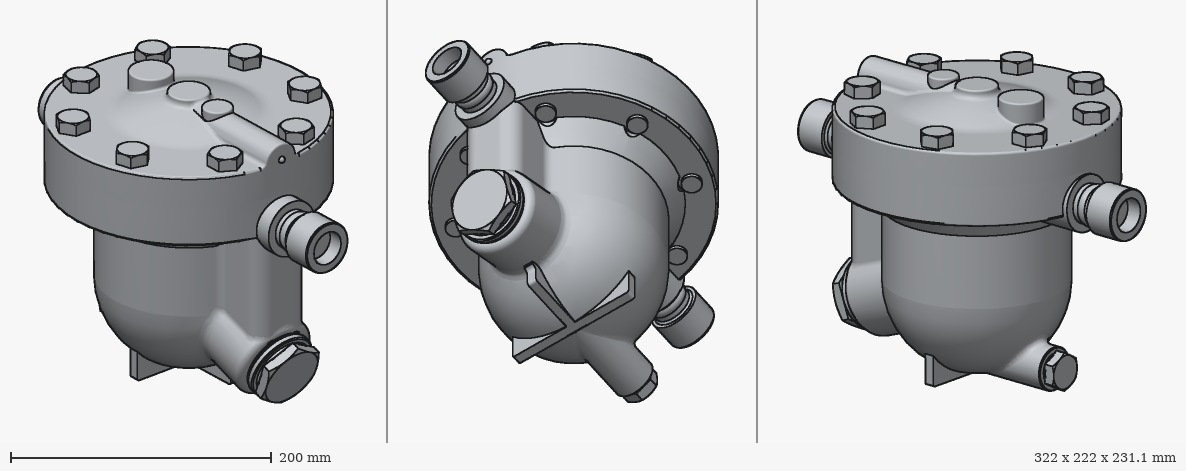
import cadquery as cq
import math


TOLERANCE = 0.01

BODY_R = 73.0
DOME_CENTER_Z = -86.5
NECK_Z = -27.4
FAIRING_TOP_R = 85.6
FLANGE_R = 111.0
FLANGE_BOTTOM_Z = -6.8
FLANGE_EDGE_R = 1.8
JOINT_Z = 25.7

COVER_TOP_Z = 52.8
COVER_EDGE_R = 2.0
CROWN_BASE_R = 65.0
CROWN_BLEND_R = 53.0
CROWN_SPHERE_R = 145.0
BOSS_TOP_Z = 71.2
BOSS_EDGE_R = 1.5
CENTER_BOSS_R = 16.5
CENTER_BOSS_BLEND = 5.3
SIDE_BOSS_R = 17.5
SIDE_BOSS_X = -45.3
SIDE_BOSS_BLEND = 1.8
SMALL_BOSS_R = 12.0
SMALL_BOSS_X = 34.4

PASSAGE_R = 15.0
PASSAGE_AXIS_RISE = 0.7
PASSAGE_BLEND_R = 4.2
PASSAGE_RAW_END_X = 130.0
RAW_DISC_R = 140.0
PASSAGE_END_R = 1.5
NIB_R = 2.7
NIB_Z = 55.0

BOLT_COUNT = 8
BOLT_CIRCLE_R = 93.0
BOLT_FIRST_ANGLE = 22.5
BOLT_HEX_TURN = 22.5
BOLT_FLATS = 24.0
BOLT_HEAD_TOP_Z = 62.9
BOLT_SHANK_R = 8.0
BOLT_TIP_Z = -10.0
SPOTFACE_R = 10.5
SPOTFACE_DEPTH = 20.0

PORT_BOSS_R = 23.0
INLET_BOSS_X = -113.0
OUTLET_BOSS_X = 123.0
PORT_NECK_R = 16.0
PORT_SOCKET_R = 41.5 / 2
PORT_SOCKET_START = 18.0
PORT_LENGTH = 43.0
PORT_FLARE = 1.8
PORT_EDGE = 1.2
WELD_R = 17.0
WELD_START = 4.7
WELD_WIDTH = 7.0
PORT_BORE_R = 27.05 / 2
PORT_BORE_DEPTH = 13.0

COLUMN_X = 114.0
COLUMN_HALF_WIDTH = 25.0
COLUMN_CORNER_R = 14.0
COLUMN_SLOPE_X = 109.5
COLUMN_SLOPE_Z = -17.2
COLUMN_STRAINER_BLEND = 6.5

STRAINER_TILT = 20.0
STRAINER_AXIS_Z = -83.0
STRAINER_R = 35.0
STRAINER_LENGTH = 111.5
STRAINER_END_R = 6.0
HOUSING_BLEND = 9.0
STRAINER_GASKET_R = 28.0
STRAINER_GASKET_END = 113.0
STRAINER_COLLAR_R = 29.0
STRAINER_COLLAR_END = 119.0
STRAINER_COLLAR_EDGE = 1.0
STRAINER_WASHER_R = 49.5 / 2
STRAINER_WASHER_END = 122.0
STRAINER_PLUG_END = 131.0
STRAINER_PLUG_FLATS = 50.0

DRAIN_R = 17.5
DRAIN_AXIS_Z = -141.9
DRAIN_EDGE = 0.8
DRAIN_END_X = -80.0
DRAIN_BLEND = 5.0
DRAIN_NECK_R = 13.0
DRAIN_PLUG_X = -82.0
DRAIN_PLUG_END_X = -91.0
DRAIN_PLUG_FLATS = 27.0

FOOT_BOTTOM_Z = -159.9
FOOT_THICKNESS = 8.0
FOOT_REACH = 55.0
FOOT_CORNER_R = 2.5
FOOT_INNER_R = 4.5
FOOT_TOP_Z = -144.2
FOOT_CROSS_TOP_Z = -125.0


def hex_prism(flats, height):
    """Hexagonal prism on z = 0 with a corner on +X and the top corners turned off."""
    corner_r = flats / math.sqrt(3)
    inner_r = flats / 2
    turned_height = (corner_r - inner_r) * math.tan(math.radians(30))
    prism = cq.Workplane("XY").polygon(6, 2 * corner_r).extrude(height)
    envelope = (
        cq.Workplane("XZ")
        .polyline([
            (0, 0),
            (corner_r, 0),
            (corner_r, height - turned_height),
            (inner_r, height),
            (0, height),
        ])
        .close()
        .revolve(360, (0, 0, 0), (0, 1, 0))
    )
    return prism.intersect(envelope)


def placed(shape, plane):
    """Move a shape from the global origin and axes onto a plane."""
    return cq.Workplane(shape.val().moved(cq.Location(plane)))


def make_bowl():
    """Domed bowl, with its straight wall running up to the flange."""
    dome_diagonal = BODY_R / math.sqrt(2)
    return (
        cq.Workplane("YZ")
        .moveTo(0, DOME_CENTER_Z - BODY_R)
        .threePointArc((dome_diagonal, DOME_CENTER_Z - dome_diagonal), (BODY_R, DOME_CENTER_Z))
        .lineTo(BODY_R, FLANGE_BOTTOM_Z)
        .lineTo(0, FLANGE_BOTTOM_Z)
        .close()
        .revolve(360, (0, 0, 0), (0, 1, 0))
    )


def make_flange():
    """Lower flange, its conical fairing and the bolt spotfaces."""
    flange = (
        cq.Workplane("YZ")
        .moveTo(0, NECK_Z)
        .lineTo(BODY_R, NECK_Z)
        .lineTo(FAIRING_TOP_R, FLANGE_BOTTOM_Z)
        .lineTo(FLANGE_R - FLANGE_EDGE_R, FLANGE_BOTTOM_Z)
        .radiusArc((FLANGE_R, FLANGE_BOTTOM_Z + FLANGE_EDGE_R), -FLANGE_EDGE_R)
        .lineTo(FLANGE_R, JOINT_Z)
        .lineTo(0, JOINT_Z)
        .close()
        .revolve(360, (0, 0, 0), (0, 1, 0))
    )
    spotface = cq.Workplane("XY", origin=(0, 0, FLANGE_BOTTOM_Z)).circle(SPOTFACE_R).extrude(-SPOTFACE_DEPTH)
    for angle in bolt_angles():
        flange = flange.cut(at_bolt(spotface, angle))
    return flange


def bolt_angles():
    """Angular positions of the cover bolts."""
    return [BOLT_FIRST_ANGLE + i * 360 / BOLT_COUNT for i in range(BOLT_COUNT)]


def at_bolt(shape, angle):
    """Move a shape from the Z axis to a bolt position, turned with the bolt circle."""
    return shape.translate((BOLT_CIRCLE_R, 0, 0)).rotate((0, 0, 0), (0, 0, 1), angle)


def strainer_plane(distance):
    """Plane across the strainer axis, at a distance along the axis from the vessel axis."""
    tilt = math.radians(STRAINER_TILT)
    along = cq.Vector(math.cos(tilt), 0, -math.sin(tilt))
    return cq.Plane(
        origin=(cq.Vector(0, 0, STRAINER_AXIS_Z) + along * distance).toTuple(),
        xDir=(math.sin(tilt), 0, math.cos(tilt)),
        normal=along.toTuple(),
    )


def make_column():
    """Vertical passage column: rounded outer corners, sloped top, cut off at the barrel's end."""
    axis_end = strainer_plane(STRAINER_LENGTH).origin
    outer_bottom_z = axis_end.z + (COLUMN_X - axis_end.x) / math.tan(math.radians(STRAINER_TILT))
    column = (
        cq.Workplane("XY", origin=(0, 0, axis_end.z))
        .rect(2 * COLUMN_X, 2 * COLUMN_HALF_WIDTH)
        .extrude(FLANGE_BOTTOM_Z - axis_end.z)
        .edges("|Z and >X")
        .fillet(COLUMN_CORNER_R)
    )
    side = (
        cq.Workplane("XZ")
        .polyline([
            (0, axis_end.z),
            (axis_end.x, axis_end.z),
            (COLUMN_X, outer_bottom_z),
            (COLUMN_X, COLUMN_SLOPE_Z),
            (COLUMN_SLOPE_X, FLANGE_BOTTOM_Z),
            (0, FLANGE_BOTTOM_Z),
        ])
        .close()
        .extrude(COLUMN_X, both=True)
    )
    return column.intersect(side)


def lies_on_bowl(edge):
    """True for an edge on the bowl wall or dome, other than the bowl's own circles."""
    for share in (0.25, 0.5, 0.75):
        point = edge.positionAt(share)
        distance = math.hypot(point.x, point.y, min(point.z - DOME_CENTER_Z, 0))
        on_surface = abs(distance - BODY_R) < TOLERANCE
        on_circle = abs(point.z - DOME_CENTER_Z) < TOLERANCE or point.z > FLANGE_BOTTOM_Z - TOLERANCE
        if on_circle or not on_surface:
            return False
    return True


def joins_column_to_barrel(edge):
    """True for a straight edge where a flat column side meets the top of the strainer barrel."""
    middle = edge.positionAt(0.5)
    along = edge.tangentAt(0.5)
    slope = math.tan(math.radians(STRAINER_TILT))
    on_side = abs(abs(middle.y) - COLUMN_HALF_WIDTH) < TOLERANCE
    above_axis = middle.z > STRAINER_AXIS_Z - slope * middle.x + TOLERANCE
    follows_axis = abs(along.z + slope * along.x) < TOLERANCE and abs(along.x) > TOLERANCE
    return on_side and above_axis and follows_axis


def make_outlet_housing():
    """Column and tilted strainer barrel, blended together."""
    barrel = cq.Workplane(strainer_plane(0)).circle(STRAINER_R).extrude(STRAINER_LENGTH)
    barrel = barrel.faces(">X").edges().fillet(STRAINER_END_R)
    housing = barrel.union(make_column())
    return housing.edges().filter(joins_column_to_barrel).fillet(COLUMN_STRAINER_BLEND)


def make_body():
    """Bowl with the outlet housing and the drain stub, each blended into it."""
    stub = cq.Workplane("YZ", origin=(DRAIN_END_X, 0, DRAIN_AXIS_Z)).circle(DRAIN_R).extrude(-DRAIN_END_X)
    stub = stub.faces("<X").edges().chamfer(DRAIN_EDGE)
    with_drain = make_bowl().union(stub).edges().filter(lies_on_bowl).fillet(DRAIN_BLEND)
    with_housing = make_bowl().union(make_outlet_housing()).edges().filter(lies_on_bowl).fillet(HOUSING_BLEND)
    return with_drain.union(with_housing)


def strainer_disc(radius, start, end):
    """Round disc on the strainer axis between two distances along it."""
    return cq.Workplane(strainer_plane(start)).circle(radius).extrude(end - start)


def make_strainer_plug():
    """Gasket, round collar, washer face and hexagon closing the strainer."""
    gasket = strainer_disc(STRAINER_GASKET_R, STRAINER_LENGTH, STRAINER_GASKET_END)
    collar = strainer_disc(STRAINER_COLLAR_R, STRAINER_GASKET_END, STRAINER_COLLAR_END)
    collar = collar.faces("<X or >X").edges().chamfer(STRAINER_COLLAR_EDGE)
    washer_face = strainer_disc(STRAINER_WASHER_R, STRAINER_COLLAR_END, STRAINER_WASHER_END)
    hexagon = hex_prism(STRAINER_PLUG_FLATS, STRAINER_PLUG_END - STRAINER_WASHER_END)
    hexagon = placed(hexagon, strainer_plane(STRAINER_WASHER_END))
    return gasket.union(collar).union(washer_face).union(hexagon)


def make_drain_plug():
    """Hexagon drain plug on a short round neck."""
    neck = (
        cq.Workplane("YZ", origin=(DRAIN_PLUG_X, 0, DRAIN_AXIS_Z))
        .circle(DRAIN_NECK_R)
        .extrude(DRAIN_END_X - DRAIN_PLUG_X)
    )
    plane = cq.Plane(origin=(DRAIN_PLUG_X, 0, DRAIN_AXIS_Z), xDir=(0, 0, 1), normal=(-1, 0, 0))
    hexagon = hex_prism(DRAIN_PLUG_FLATS, DRAIN_PLUG_X - DRAIN_PLUG_END_X)
    return neck.union(placed(hexagon, plane))


def make_feet():
    """Cross rib under the dome and the rib below the strainer."""
    cross = (
        cq.Workplane("XY", origin=(0, 0, FOOT_BOTTOM_Z))
        .rect(FOOT_THICKNESS, 2 * FOOT_REACH)
        .extrude(FOOT_CROSS_TOP_Z - FOOT_BOTTOM_Z)
        .edges("|X and <Z")
        .fillet(FOOT_CORNER_R)
    )
    rib = (
        cq.Workplane("XZ")
        .moveTo(0, FOOT_BOTTOM_Z)
        .lineTo(FOOT_REACH - FOOT_CORNER_R, FOOT_BOTTOM_Z)
        .radiusArc((FOOT_REACH, FOOT_BOTTOM_Z + FOOT_CORNER_R), -FOOT_CORNER_R)
        .lineTo(FOOT_REACH, FOOT_TOP_Z - FOOT_INNER_R)
        .radiusArc((FOOT_REACH + FOOT_INNER_R, FOOT_TOP_Z), FOOT_INNER_R)
        .lineTo(FOOT_REACH + FOOT_INNER_R, STRAINER_AXIS_Z - STRAINER_R)
        .lineTo(0, STRAINER_AXIS_Z - STRAINER_R)
        .close()
        .extrude(FOOT_THICKNESS / 2, both=True)
    )
    return cross.union(rib)


def make_crowned_disc(rim_r):
    """Square-edged disc with a spherical crown and the centre boss, both blended in."""
    crown_angle = math.asin(CROWN_BLEND_R / CROWN_SPHERE_R)
    blend_radius = (CROWN_BASE_R - CROWN_BLEND_R) / math.sin(crown_angle)
    blend_top_z = COVER_TOP_Z + blend_radius * (1 - math.cos(crown_angle))
    crown_center_z = blend_top_z - CROWN_SPHERE_R * math.cos(crown_angle)
    fillet_center_r = CENTER_BOSS_R + CENTER_BOSS_BLEND
    fillet_reach = CROWN_SPHERE_R + CENTER_BOSS_BLEND
    fillet_rise = math.sqrt(fillet_reach**2 - fillet_center_r**2)
    fillet_share = CROWN_SPHERE_R / fillet_reach
    return (
        cq.Workplane("YZ")
        .moveTo(0, JOINT_Z)
        .lineTo(rim_r, JOINT_Z)
        .lineTo(rim_r, COVER_TOP_Z)
        .lineTo(CROWN_BASE_R, COVER_TOP_Z)
        .radiusArc((CROWN_BLEND_R, blend_top_z), blend_radius)
        .radiusArc(
            (fillet_center_r * fillet_share, crown_center_z + fillet_rise * fillet_share), -CROWN_SPHERE_R
        )
        .radiusArc((CENTER_BOSS_R, crown_center_z + fillet_rise), CENTER_BOSS_BLEND)
        .lineTo(CENTER_BOSS_R, BOSS_TOP_Z - BOSS_EDGE_R)
        .radiusArc((CENTER_BOSS_R - BOSS_EDGE_R, BOSS_TOP_Z), -BOSS_EDGE_R)
        .lineTo(0, BOSS_TOP_Z)
        .close()
        .revolve(360, (0, 0, 0), (0, 1, 0))
    )


def make_cover_boss(x, radius):
    """Round boss on the cover with a rounded top edge."""
    return (
        cq.Workplane("XY", origin=(x, 0, COVER_TOP_Z))
        .circle(radius)
        .extrude(BOSS_TOP_Z - COVER_TOP_Z)
        .faces(">Z")
        .edges()
        .fillet(BOSS_EDGE_R)
    )


def add_blended_boss(cover, x, radius, blend):
    """Join a boss to the crown and round the edge where they meet."""
    joined = cover.union(make_cover_boss(x, radius))
    reach = radius + blend
    near = cq.selectors.BoxSelector(
        (x - reach, -reach, COVER_TOP_Z + TOLERANCE),
        (x + reach, reach, BOSS_TOP_Z - 2 * BOSS_EDGE_R),
        boundingbox=True,
    )
    return joined.edges(near).fillet(blend)


def meets_passage(edge):
    """True for an edge above the cover face where the passage rib's round side ends."""
    middle = edge.positionAt(0.5)
    bounds = edge.BoundingBox()
    from_axis = math.hypot(middle.y, middle.z - COVER_TOP_Z - PASSAGE_AXIS_RISE)
    inside = bounds.xmin > TOLERANCE and middle.x < FLANGE_R
    above = middle.z > COVER_TOP_Z - TOLERANCE
    return inside and above and abs(from_axis - PASSAGE_R) < TOLERANCE


def make_cover_envelope():
    """Room taken by the cover: round-edged disc, space over its face and the passage rib's end."""
    height = BOSS_TOP_Z - JOINT_Z
    base = cq.Workplane("XY", origin=(0, 0, JOINT_Z))
    disc = base.circle(FLANGE_R).extrude(COVER_TOP_Z - JOINT_Z).faces(">Z").edges().fillet(COVER_EDGE_R)
    over_face = base.circle(FLANGE_R - COVER_EDGE_R).extrude(height)
    rib_width = 2 * (PASSAGE_R + PASSAGE_BLEND_R)
    rib_end = base.rect(2 * FLANGE_R, rib_width).extrude(height).intersect(base.circle(FLANGE_R).extrude(height))
    rib_end = rib_end.intersect(base.center(FLANGE_R / 2, 0).rect(FLANGE_R, rib_width).extrude(height))
    return disc.union(over_face).union(rib_end)


def make_cover():
    """Cover with its crown, centre boss and the round passage rib running out to the rim."""
    rib = (
        cq.Workplane("YZ", origin=(0, 0, COVER_TOP_Z + PASSAGE_AXIS_RISE))
        .circle(PASSAGE_R)
        .extrude(PASSAGE_RAW_END_X)
    )
    raw = make_crowned_disc(RAW_DISC_R).union(rib)
    blended = raw.edges().filter(meets_passage).fillet(PASSAGE_BLEND_R)
    cover = blended.intersect(make_cover_envelope())
    end_edge = cq.selectors.BoxSelector(
        (FLANGE_R - COVER_EDGE_R, -PASSAGE_R, COVER_TOP_Z + PASSAGE_R / 2),
        (FLANGE_R + 1, PASSAGE_R, BOSS_TOP_Z),
    )
    cover = cover.edges(end_edge).fillet(PASSAGE_END_R)
    nib = cq.Workplane("XY").sphere(NIB_R).translate((FLANGE_R, 0, NIB_Z))
    return cover.union(nib)


def make_bolt():
    """Cover bolt on the Z axis, from its tip below the flange to its hexagon head."""
    head = hex_prism(BOLT_FLATS, BOLT_HEAD_TOP_Z - COVER_TOP_Z).rotate((0, 0, 0), (0, 0, 1), BOLT_HEX_TURN)
    head = head.translate((0, 0, COVER_TOP_Z))
    shank = cq.Workplane("XY", origin=(0, 0, BOLT_TIP_Z)).circle(BOLT_SHANK_R).extrude(COVER_TOP_Z - BOLT_TIP_Z)
    return head.union(shank)


def make_port(boss_x):
    """Inlet or outlet: round boss, necked pipe with a weld bead and a bored socket."""
    length = abs(boss_x)
    tip = length + PORT_LENGTH
    weld_start = length + WELD_START
    weld_end = weld_start + WELD_WIDTH
    flare_end = length + PORT_SOCKET_START
    profile = (
        cq.Workplane("XZ")
        .moveTo(0, 0)
        .lineTo(0, PORT_BOSS_R)
        .lineTo(length, PORT_BOSS_R)
        .lineTo(length, PORT_NECK_R)
        .lineTo(weld_start, PORT_NECK_R)
        .threePointArc(((weld_start + weld_end) / 2, WELD_R), (weld_end, PORT_NECK_R))
        .lineTo(flare_end - PORT_FLARE, PORT_NECK_R)
        .lineTo(flare_end, PORT_NECK_R + PORT_FLARE)
        .lineTo(flare_end, PORT_SOCKET_R)
        .lineTo(tip - PORT_EDGE, PORT_SOCKET_R)
        .lineTo(tip, PORT_SOCKET_R - PORT_EDGE / 2)
        .lineTo(tip, PORT_BORE_R)
        .lineTo(tip - PORT_BORE_DEPTH, PORT_BORE_R)
        .lineTo(tip - PORT_BORE_DEPTH, 0)
        .close()
    )
    port = profile.revolve(360, (0, 0, 0), (1, 0, 0))
    return port if boss_x > 0 else port.rotate((0, 0, 0), (0, 0, 1), 180)


lower = make_body().union(make_flange())
lower = lower.union(make_strainer_plug()).union(make_drain_plug()).union(make_feet())
lower = lower.union(make_port(INLET_BOSS_X)).union(make_port(OUTLET_BOSS_X))

upper = add_blended_boss(make_cover(), SIDE_BOSS_X, SIDE_BOSS_R, SIDE_BOSS_BLEND)
upper = upper.union(make_cover_boss(SMALL_BOSS_X, SMALL_BOSS_R))
for bolt_angle in bolt_angles():
    upper = upper.union(at_bolt(make_bolt(), bolt_angle))

result = lower.union(upper, clean=False)